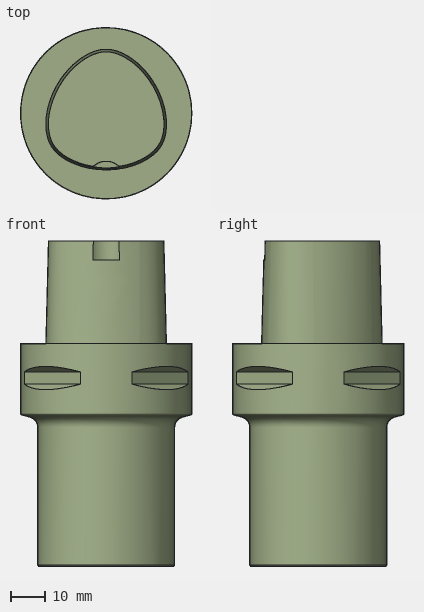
import cadquery as cq
import math

shank_length = 30.0
shank_base_radius = 17.6
shank_taper = 1 / 20
shank_tip_radius = shank_base_radius - shank_length * shank_taper / 2
eccentricity = 1.06
lobe_count = 3
first_flank_angle = -90.0
flank_half_angle_base = 24.1
flank_half_angle_tip = 25.1
points_per_span = 9

notch_radius = 5.4
notch_depth = 5.65
notch_floor_y = -14.0

flange_radius = 25.0
flange_rim_height = 20.3
rim_round_radius = 0.5
body_radius = 20.0
overall_length = 95.0
body_bottom_z = shank_length - overall_length
body_chamfer = 0.4
neck_radius = 3.0
neck_slope = 15.0

slot_count = 4
slot_center_z = -10.0
slot_floor_width = 3.5
slot_floor_distance = 22.15
slot_wall_angle = 30.0


def lobed_point(radius, angle, z):
    """Point of the lobed outline whose normal is turned by angle (degrees) from the first flank."""
    turn = math.radians(angle)
    normal = math.radians(angle + first_flank_angle)
    support = radius - eccentricity * math.cos(lobe_count * turn)
    slide = lobe_count * eccentricity * math.sin(lobe_count * turn)
    return cq.Vector(
        support * math.cos(normal) - slide * math.sin(normal),
        support * math.sin(normal) + slide * math.cos(normal),
        z,
    )


def lobed_span(radius, start, end, z):
    """Curve along the lobed outline between two normal angles."""
    step = (end - start) / (points_per_span - 1)
    points = [lobed_point(radius, start + i * step, z) for i in range(points_per_span)]
    return cq.Edge.makeSpline(points)


def lobed_wire(radius, flank_half_angle, z):
    """Closed lobed outline made of alternating flank and lobe spans."""
    pitch = 360 / lobe_count
    spans = []
    for i in range(lobe_count):
        flank_start = i * pitch - flank_half_angle
        flank_end = i * pitch + flank_half_angle
        spans.append(lobed_span(radius, flank_start, flank_end, z))
        spans.append(lobed_span(radius, flank_end, flank_start + pitch, z))
    return cq.Wire.assembleEdges(spans)


def make_shank():
    base = lobed_wire(shank_base_radius, flank_half_angle_base, 0)
    tip = lobed_wire(shank_tip_radius, flank_half_angle_tip, shank_length)
    return cq.Workplane(obj=cq.Solid.makeLoft([base, tip], True))


def make_notch():
    return (
        cq.Workplane("XY", origin=(0, notch_floor_y - notch_radius, shank_length - notch_depth))
        .circle(notch_radius)
        .extrude(notch_depth)
    )


def make_flange_and_body():
    """Revolved flange with rounded rim, sloped underside, filleted neck and body."""
    slope = math.radians(neck_slope)
    rim_center_r = flange_radius - rim_round_radius
    rim_middle = -(math.pi / 2 - slope) / 2
    underside_r = rim_center_r + rim_round_radius * math.sin(slope)
    underside_z = -flange_rim_height - rim_round_radius * math.cos(slope)
    neck_center_r = body_radius + neck_radius
    neck_start_r = neck_center_r - neck_radius * math.sin(slope)
    neck_start_z = underside_z - (underside_r - neck_start_r) * math.tan(slope)
    neck_center_z = neck_start_z - neck_radius * math.cos(slope)
    neck_middle = (math.pi + math.pi / 2 + slope) / 2
    return (
        cq.Workplane("XZ")
        .moveTo(0, 0)
        .lineTo(flange_radius, 0)
        .lineTo(flange_radius, -flange_rim_height)
        .threePointArc(
            (
                rim_center_r + rim_round_radius * math.cos(rim_middle),
                -flange_rim_height + rim_round_radius * math.sin(rim_middle),
            ),
            (underside_r, underside_z),
        )
        .lineTo(neck_start_r, neck_start_z)
        .threePointArc(
            (
                neck_center_r + neck_radius * math.cos(neck_middle),
                neck_center_z + neck_radius * math.sin(neck_middle),
            ),
            (body_radius, neck_center_z),
        )
        .lineTo(body_radius, body_bottom_z + body_chamfer)
        .lineTo(body_radius - body_chamfer, body_bottom_z)
        .lineTo(0, body_bottom_z)
        .close()
        .revolve(360, (0, 0, 0), (0, 1, 0))
    )


def make_slot(angle):
    """Trapezoidal cutter lying across the flange rim at the given direction."""
    depth = flange_radius - slot_floor_distance
    floor_half = slot_floor_width / 2
    mouth_half = floor_half + depth * math.tan(math.radians(slot_wall_angle))
    return (
        cq.Workplane("XZ")
        .polyline([
            (slot_floor_distance, slot_center_z - floor_half),
            (flange_radius, slot_center_z - mouth_half),
            (flange_radius, slot_center_z + mouth_half),
            (slot_floor_distance, slot_center_z + floor_half),
        ])
        .close()
        .extrude(flange_radius, both=True)
        .rotate((0, 0, 0), (0, 0, 1), angle)
    )


result = make_flange_and_body().union(make_shank()).cut(make_notch())

slot_pitch = 360 / slot_count
for index in range(slot_count):
    result = result.cut(make_slot((index + 0.5) * slot_pitch))